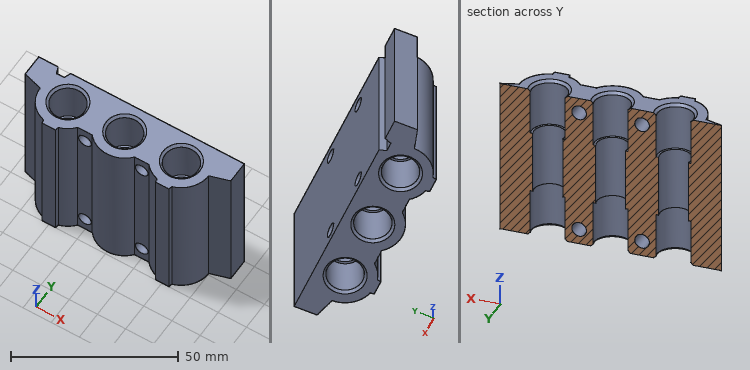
import cadquery as cq
import math

length = 72.9
depth = 20.0
height = 50.0

bore_pitch = 20.1
bore_to_back = 9.3
lobe_radius = 9.8
bore_dia = 10.0
bushing_dia = 11.45
bushing_depth = 15.0
mouth_dia = 13.1

wing_edge = 7.5
wing_root = 9.5
wing_root_x = bore_pitch + lobe_radius
web_depth = 15.6
rail_tip_width = 4.8
rail_foot_width = 5.25

mount_hole_dia = 4.5
mount_spacing_z = 40.0

groove_x = -27.35
groove_mouth = 4.5
groove_floor = 2.8
groove_depth = 2.25

bore_y = -bore_to_back
outer_bores = [(-bore_pitch, bore_y), (bore_pitch, bore_y)]
all_bores = outer_bores + [(0, bore_y)]


def make_rail():
    """Rail with slightly tapered sides from the lobe to its tip, buried down to the bore axis."""
    foot_y = bore_y - math.sqrt(lobe_radius**2 - (rail_foot_width / 2) ** 2)
    return (
        cq.Workplane("XY")
        .moveTo(-rail_foot_width / 2, bore_y)
        .lineTo(-rail_foot_width / 2, foot_y)
        .lineTo(-rail_tip_width / 2, -depth)
        .lineTo(rail_tip_width / 2, -depth)
        .lineTo(rail_foot_width / 2, foot_y)
        .lineTo(rail_foot_width / 2, bore_y)
        .close()
        .extrude(height)
    )


def make_body():
    """Extrude the winged back plate, then add the lobes and the rails."""
    plate = (
        cq.Workplane("XY")
        .moveTo(-length / 2, 0)
        .lineTo(length / 2, 0)
        .lineTo(length / 2, -wing_edge)
        .lineTo(wing_root_x, -wing_root)
        .lineTo(bore_pitch, -wing_root)
        .lineTo(bore_pitch, -web_depth)
        .lineTo(-bore_pitch, -web_depth)
        .lineTo(-bore_pitch, -wing_root)
        .lineTo(-wing_root_x, -wing_root)
        .lineTo(-length / 2, -wing_edge)
        .close()
        .extrude(height)
    )
    lobes = cq.Workplane("XY").pushPoints(all_bores).circle(lobe_radius).extrude(height)
    envelope = cq.Workplane("XY").box(length, 2 * depth, height, centered=(True, True, False))
    lobes = lobes.intersect(envelope.translate((0, -depth, 0)))
    body = plate.union(lobes)
    for x, _ in outer_bores:
        body = body.union(make_rail().translate((x, 0, 0)))
    return body


def make_bore():
    """Solid of revolution for one bore: chamfered mouth and bushing seat at each end."""
    mouth_chamfer = (mouth_dia - bushing_dia) / 2
    return (
        cq.Workplane("XZ")
        .moveTo(0, 0)
        .lineTo(mouth_dia / 2, 0)
        .lineTo(bushing_dia / 2, mouth_chamfer)
        .lineTo(bushing_dia / 2, bushing_depth)
        .lineTo(bore_dia / 2, bushing_depth)
        .lineTo(bore_dia / 2, height - bushing_depth)
        .lineTo(bushing_dia / 2, height - bushing_depth)
        .lineTo(bushing_dia / 2, height - mouth_chamfer)
        .lineTo(mouth_dia / 2, height)
        .lineTo(0, height)
        .close()
        .revolve(360, (0, 0, 0), (0, 1, 0))
    )


def make_mount_holes():
    """Four holes running front to back, two in each web."""
    return (
        cq.Workplane("XZ", origin=(0, 0, height / 2))
        .rect(bore_pitch, mount_spacing_z, forConstruction=True)
        .vertices()
        .circle(mount_hole_dia / 2)
        .extrude(depth)
    )


def make_groove():
    """Trapezoidal groove, narrower at its floor, over the full height."""
    return (
        cq.Workplane("XY")
        .moveTo(groove_x - groove_mouth / 2, 0)
        .lineTo(groove_x - groove_floor / 2, -groove_depth)
        .lineTo(groove_x + groove_floor / 2, -groove_depth)
        .lineTo(groove_x + groove_mouth / 2, 0)
        .close()
        .extrude(height)
    )


body = make_body().cut(make_mount_holes()).cut(make_groove())
for x, y in all_bores:
    body = body.cut(make_bore().translate((x, y, 0)))

result = body